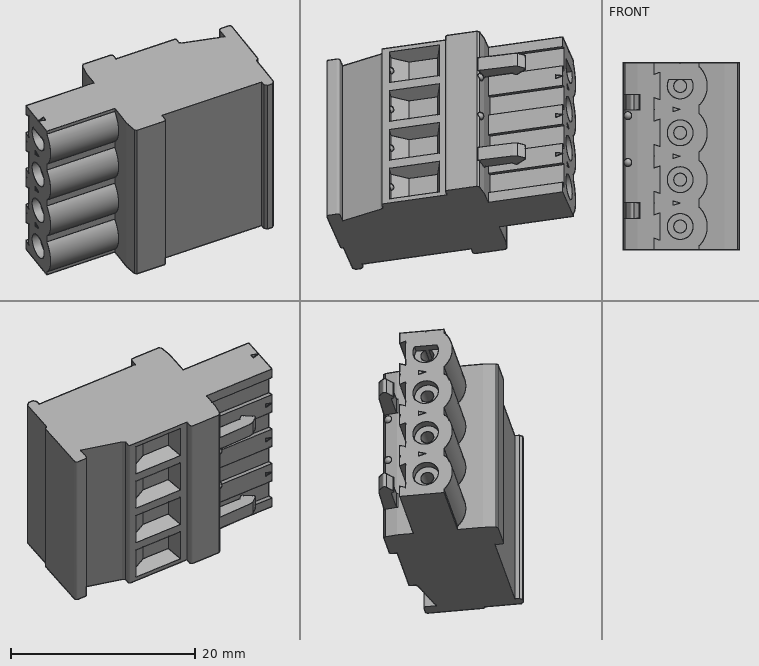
import cadquery as cq
import math

WIDTH = 12.6
LENGTH = 26.0
HEIGHT = 20.33
POLES = 4
PITCH = HEIGHT / POLES
POLE_HEIGHTS = [(i + 0.5) * PITCH for i in range(POLES)]
GAP_HEIGHTS = [i * PITCH for i in range(1, POLES)]

NOSE_LEFT = 3.33
NOSE_RIGHT = 8.22
NOSE_LENGTH = 8.32

COLLAR_BACK = 12.32
COLLAR_BEVEL = 1.59
COLLAR_BEVEL_RISE = 0.2
COLLAR_EDGE = 0.2
COLLAR_RADIUS = 0.29

BODY_LEFT = 0.83
BODY_RIGHT = 11.62
LEDGE_Y = 19.65
LEDGE_X = 1.59
LEDGE_RADIUS = 0.2
SLOPE_FOOT = (1.77, 19.95)
SLOPE_TOP_X = 2.96

HEAD_LEFT = 1.53
HEAD_RIGHT = 12.43
HEAD_FRONT = 24.52
HEAD_RADIUS = 0.29
HEAD_STEP_X = 8.09
HEAD_STEP = 0.29
HEAD_CHAMFER = 0.3

SOCKET_X = 6.2
SOCKET_RADIUS = 1.4
SOCKET_DEPTH = 1.0
BORE_RADIUS = 0.7
BORE_DEPTH = 5.2
KEY_FLAT = 0.68
RIB_RADIUS = 2.95

GROOVE_DEPTH = 0.65
GROOVE_MOUTH = 2.52
GROOVE_FLOOR = 2.96

POCKET_FRONT = 13.13
POCKET_BACK = 18.77
POCKET_HEIGHT = 4.0
POCKET_DEPTH = 1.53
POCKET_TAPER = 0.62
POCKET_BACK_DEPTH = 0.73
POCKET_FLOOR_BACK = 16.95

STUD_RADIUS = 0.45
POCKET_STUD_SINK = 0.13
POCKET_STUD_X = BODY_LEFT + POCKET_BACK_DEPTH
POCKET_STUD_Y = POCKET_BACK + POCKET_STUD_SINK
COLLAR_STUD_X = 0.52
COLLAR_STUD_Y = 8.58
LOWER_STUD_Z = 9.5
COLLAR_STUD_HEIGHTS = [LOWER_STUD_Z, LOWER_STUD_Z + PITCH]

LATCH_WIDTH = 1.7
LATCH_LEFT = 0.05
LATCH_RIGHT = 1.48
LATCH_OUTER_BEND = [(0.18, 4.73), (0.29, 4.3)]
LATCH_TIP_ARC = [(0.8, 3.67), (0.95, 3.6), (1.2, 3.77)]
LATCH_CATCH_ARC = [(1.75, 4.6), (1.85, 4.78), (1.8, 4.91)]
LATCH_CATCH_TOP = 5.2
LATCH_ROOT_CHAMFER = 0.15
LATCH_BOTTOMS = [3.43, 15.18]

MARK_LENGTH = 0.78
MARK_WIDTH = 0.47
MARK_DEPTH = 0.08


def make_body():
    bevel_y = NOSE_LENGTH + COLLAR_BEVEL_RISE
    edge_y = bevel_y + COLLAR_EDGE
    outline = (
        cq.Workplane("XY")
        .moveTo(NOSE_LEFT, 0)
        .lineTo(NOSE_RIGHT, 0)
        .lineTo(NOSE_RIGHT, NOSE_LENGTH)
        .lineTo(WIDTH - COLLAR_BEVEL, NOSE_LENGTH)
        .lineTo(WIDTH - COLLAR_EDGE, bevel_y)
        .lineTo(WIDTH, edge_y)
        .lineTo(WIDTH, COLLAR_BACK - COLLAR_RADIUS)
        .radiusArc((WIDTH - COLLAR_RADIUS, COLLAR_BACK), -COLLAR_RADIUS)
        .lineTo(BODY_RIGHT, COLLAR_BACK)
        .lineTo(BODY_RIGHT, HEAD_FRONT)
        .lineTo(HEAD_RIGHT - HEAD_CHAMFER, HEAD_FRONT)
        .lineTo(HEAD_RIGHT, HEAD_FRONT + HEAD_CHAMFER)
        .lineTo(HEAD_RIGHT, LENGTH - HEAD_STEP - HEAD_CHAMFER)
        .lineTo(HEAD_RIGHT - HEAD_CHAMFER, LENGTH - HEAD_STEP)
        .lineTo(HEAD_STEP_X, LENGTH - HEAD_STEP)
        .radiusArc((HEAD_STEP_X - HEAD_STEP, LENGTH), -HEAD_STEP)
        .lineTo(HEAD_LEFT + HEAD_RADIUS, LENGTH)
        .radiusArc((HEAD_LEFT, LENGTH - HEAD_RADIUS), -HEAD_RADIUS)
        .lineTo(HEAD_LEFT, HEAD_FRONT + HEAD_RADIUS)
        .radiusArc((HEAD_LEFT + HEAD_RADIUS, HEAD_FRONT), -HEAD_RADIUS)
        .lineTo(SLOPE_TOP_X, HEAD_FRONT)
        .lineTo(*SLOPE_FOOT)
        .lineTo(LEDGE_X, LEDGE_Y)
        .lineTo(BODY_LEFT + LEDGE_RADIUS, LEDGE_Y)
        .radiusArc((BODY_LEFT, LEDGE_Y - LEDGE_RADIUS), -LEDGE_RADIUS)
        .lineTo(BODY_LEFT, COLLAR_BACK)
        .lineTo(COLLAR_RADIUS, COLLAR_BACK)
        .radiusArc((0, COLLAR_BACK - COLLAR_RADIUS), -COLLAR_RADIUS)
        .lineTo(0, edge_y)
        .lineTo(COLLAR_EDGE, bevel_y)
        .lineTo(COLLAR_BEVEL, NOSE_LENGTH)
        .lineTo(NOSE_LEFT, NOSE_LENGTH)
        .close()
    )
    return outline.extrude(HEIGHT)


def front_disc(radius, depth, z):
    """Cylinder on a socket axis, from the front face back to the given depth."""
    return cq.Workplane("XZ").center(SOCKET_X, z).circle(radius).extrude(-depth)


def make_rib(z):
    half_chord = math.sqrt(RIB_RADIUS**2 - (NOSE_RIGHT - SOCKET_X) ** 2)
    return (
        cq.Workplane("XZ")
        .moveTo(NOSE_RIGHT, z - half_chord)
        .threePointArc((SOCKET_X + RIB_RADIUS, z), (NOSE_RIGHT, z + half_chord))
        .close()
        .extrude(-NOSE_LENGTH)
    )


def make_socket(z):
    return front_disc(SOCKET_RADIUS, SOCKET_DEPTH, z).union(front_disc(BORE_RADIUS, BORE_DEPTH, z))


def make_key_socket(z):
    """Socket with a flat across its top."""
    side = 2 * SOCKET_RADIUS
    below_flat = (
        cq.Workplane("XY")
        .box(side, BORE_DEPTH, side, centered=(True, False, False))
        .translate((SOCKET_X, 0, z + KEY_FLAT - side))
    )
    return make_socket(z).intersect(below_flat)


def make_groove(z):
    floor_x = NOSE_LEFT + GROOVE_DEPTH
    return (
        cq.Workplane("XZ")
        .polyline([
            (NOSE_LEFT, z - GROOVE_MOUTH / 2),
            (NOSE_LEFT, z + GROOVE_MOUTH / 2),
            (floor_x, z + GROOVE_FLOOR / 2),
            (floor_x, z - GROOVE_FLOOR / 2),
        ])
        .close()
        .extrude(-NOSE_LENGTH)
    )


def make_pocket(z):
    """Tapered pocket with an upright back wall and a floor that rises towards it."""
    length = POCKET_BACK - POCKET_FRONT
    mouth_center = (POCKET_FRONT + POCKET_BACK) / 2
    floor_x = BODY_LEFT + POCKET_DEPTH
    tapered = (
        cq.Workplane("YZ", origin=(BODY_LEFT, mouth_center, z))
        .rect(length, POCKET_HEIGHT)
        .workplane(offset=POCKET_DEPTH)
        .center(POCKET_TAPER / 2, 0)
        .rect(length - POCKET_TAPER, POCKET_HEIGHT - 2 * POCKET_TAPER)
        .loft(ruled=True)
    )
    side_shape = (
        cq.Workplane("XY", origin=(0, 0, z))
        .polyline([
            (BODY_LEFT, POCKET_FRONT),
            (floor_x, POCKET_FRONT),
            (floor_x, POCKET_FLOOR_BACK),
            (BODY_LEFT + POCKET_BACK_DEPTH, POCKET_BACK),
            (BODY_LEFT, POCKET_BACK),
        ])
        .close()
        .extrude(POCKET_HEIGHT / 2, both=True)
    )
    return tapered.intersect(side_shape)


def make_stud(x, y, z):
    return cq.Workplane("XY").sphere(STUD_RADIUS).translate((x, y, z))


def make_latch(bottom):
    """Hook with a rounded tip and a catch on the side facing the nose."""
    root_y = NOSE_LENGTH + COLLAR_BEVEL_RISE + COLLAR_EDGE
    tip_start, tip_middle, tip_end = LATCH_TIP_ARC
    catch_start, catch_middle, catch_end = LATCH_CATCH_ARC
    return (
        cq.Workplane("XY", origin=(0, 0, bottom))
        .moveTo(LATCH_LEFT, root_y)
        .lineTo(*LATCH_OUTER_BEND[0])
        .lineTo(*LATCH_OUTER_BEND[1])
        .lineTo(*tip_start)
        .threePointArc(tip_middle, tip_end)
        .lineTo(*catch_start)
        .threePointArc(catch_middle, catch_end)
        .lineTo(LATCH_RIGHT, LATCH_CATCH_TOP)
        .lineTo(LATCH_RIGHT, NOSE_LENGTH - LATCH_ROOT_CHAMFER)
        .lineTo(LATCH_RIGHT + LATCH_ROOT_CHAMFER, NOSE_LENGTH)
        .lineTo(LATCH_RIGHT + LATCH_ROOT_CHAMFER, root_y)
        .close()
        .extrude(LATCH_WIDTH)
    )


def make_mark(plane):
    """Shallow triangle whose tip lies on the plane's origin and points along its local x."""
    return (
        cq.Workplane(plane)
        .polyline([(0, 0), (-MARK_LENGTH, MARK_WIDTH / 2), (-MARK_LENGTH, -MARK_WIDTH / 2)])
        .close()
        .extrude(-MARK_DEPTH)
    )


def make_marks():
    top = cq.Plane(origin=(SOCKET_X, 0, HEIGHT), xDir=(0, -1, 0), normal=(0, 0, 1))
    marks = make_mark(top)
    for z in GAP_HEIGHTS:
        front = cq.Plane(origin=(SOCKET_X, 0, z), xDir=(1, 0, 0), normal=(0, -1, 0))
        side = cq.Plane(origin=(NOSE_LEFT, 0, z), xDir=(0, -1, 0), normal=(-1, 0, 0))
        marks = marks.union(make_mark(front)).union(make_mark(side))
    return marks


result = make_body()

for pole_z in POLE_HEIGHTS:
    result = result.union(make_rib(pole_z))
    result = result.cut(make_groove(pole_z))
    result = result.cut(make_pocket(pole_z))
    result = result.union(make_stud(POCKET_STUD_X, POCKET_STUD_Y, pole_z))

for pole_z in POLE_HEIGHTS[:-1]:
    result = result.cut(make_socket(pole_z))
result = result.cut(make_key_socket(POLE_HEIGHTS[-1]))

for stud_z in COLLAR_STUD_HEIGHTS:
    result = result.union(make_stud(COLLAR_STUD_X, COLLAR_STUD_Y, stud_z))

for latch_bottom in LATCH_BOTTOMS:
    result = result.union(make_latch(latch_bottom))

result = result.cut(make_marks()).solids()